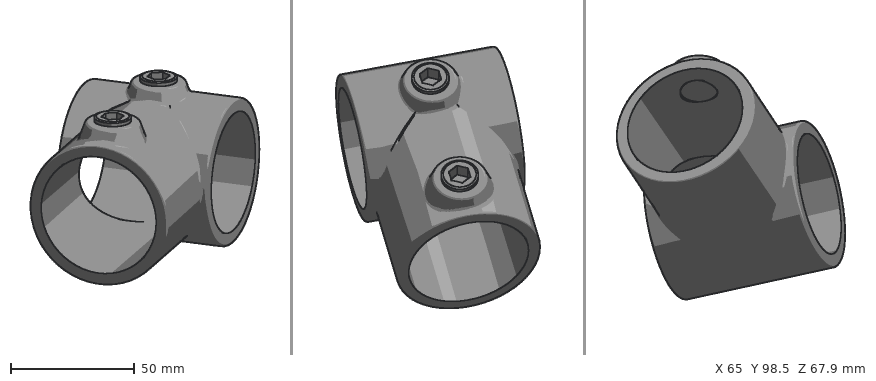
import cadquery as cq

run_length = 65.0
run_radius = 30.5
branch_radius = 30.0
branch_reach = 68.0
bore_radius = 25.0
rim_round = 1.0
seam_round = 1.0

boss_top = 35.6
boss_rim_radius = 10.9
boss_draft_slope = 0.36
boss_seat = 23.6
boss_reach = 15.8
boss_top_round = 2.0
boss_root_round = 2.0
branch_screw_y = -52.1
screw_places = [0.0, branch_screw_y]

screw_radius = 7.6
screw_top = 37.4
screw_edge_in = 0.9
screw_edge_drop = 0.4
screw_bottom = bore_radius
hex_flats = 8.0
hex_depth = 5.9


def upright_cylinder(radius, y, bottom, top):
    return cq.Workplane("XY", origin=(0, y, bottom)).circle(radius).extrude(top - bottom)


def run_cylinder(radius):
    return cq.Workplane("YZ").circle(radius).extrude(run_length / 2, both=True)


def branch_cylinder(radius):
    return cq.Workplane("XZ").circle(radius).extrude(branch_reach)


def make_boss(y):
    """Conical boss with a rounded top edge, sunk into the tube wall."""
    seat_radius = boss_rim_radius + boss_draft_slope * (boss_top - boss_seat)
    seat_center = cq.Vector(0, y, boss_seat)
    cone = cq.Solid.makeCone(seat_radius, boss_rim_radius, boss_top - boss_seat, pnt=seat_center)
    return cq.Workplane(cone).faces(">Z").edges().fillet(boss_top_round)


def make_tubes():
    """Solid run and branch with rounded rims, meeting in a sharp seam."""
    run = run_cylinder(run_radius).faces("<X or >X").edges().fillet(rim_round)
    branch = branch_cylinder(branch_radius).faces("<Y").edges().fillet(rim_round)
    return run.union(branch)


def round_seam(tubes):
    """Fill the corner between run and branch with a fillet."""
    return tubes.edges("%BSPLINE").fillet(seam_round)


def add_boss(tubes, y):
    """Join a boss to the tubes with a fillet around its root."""
    bossed = tubes.union(make_boss(y))
    root_zone = cq.selectors.BoxSelector(
        (-run_radius, y - boss_reach, boss_seat), (run_radius, y + boss_reach, boss_top)
    )
    return bossed.edges("%BSPLINE").edges(root_zone).fillet(boss_root_round)


def make_fitting():
    """Tee of two tubes with screw bosses, bored along both tubes and through each boss."""
    tubes = make_tubes()
    fitting = round_seam(tubes)
    for y in screw_places:
        fitting = fitting.union(add_boss(tubes, y))
    fitting = fitting.cut(run_cylinder(bore_radius)).cut(branch_cylinder(bore_radius))
    for y in screw_places:
        fitting = fitting.cut(upright_cylinder(screw_radius, y, 0, boss_top))
    return fitting


def make_screw(y):
    """Set screw with a chamfered top edge and a hexagon socket, with corners along Y."""
    screw = upright_cylinder(screw_radius, y, screw_bottom, screw_top)
    screw = screw.faces(">Z").edges().chamfer(screw_edge_drop, screw_edge_in)
    socket = (
        cq.Workplane("XY", origin=(0, y, screw_top - hex_depth))
        .polygon(6, hex_flats, circumscribed=True)
        .extrude(hex_depth)
    )
    return screw.cut(socket)


fitting = make_fitting()
screws = [make_screw(y) for y in screw_places]
result = cq.Compound.makeCompound([fitting.val(), *[screw.val() for screw in screws]])